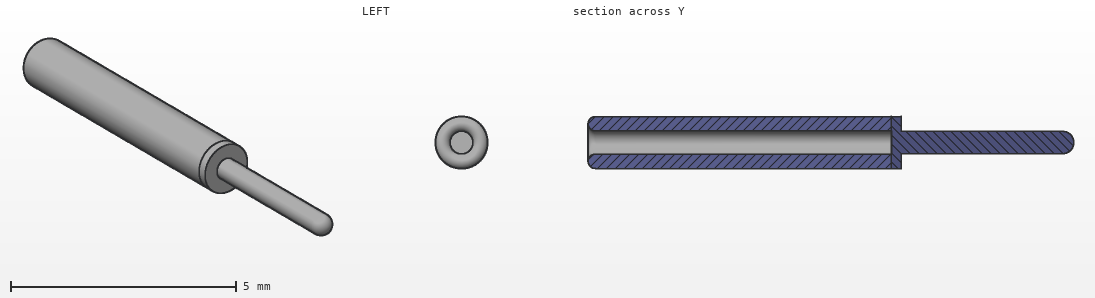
import cadquery as cq
import math

total_length = 10.79
outer_diameter = 1.17
barrel_length = 6.73
collar_end = 6.96
pin_diameter = 0.51
bore_diameter = 0.51

outer_radius = outer_diameter / 2
pin_radius = pin_diameter / 2
bore_radius = bore_diameter / 2
lip_radius = (outer_radius - bore_radius) / 2


def revolve_about_x(profile):
    """Turn a closed half-profile, drawn in XY, about the X axis."""
    return profile.close().revolve(360, (0, 0, 0), (1, 0, 0))


def make_barrel():
    """Tube with a fully rounded lip at its open end and a bore right through."""
    profile = (
        cq.Workplane("XY")
        .moveTo(barrel_length, bore_radius)
        .lineTo(lip_radius, bore_radius)
        .threePointArc((0, bore_radius + lip_radius), (lip_radius, outer_radius))
        .lineTo(barrel_length, outer_radius)
    )
    return revolve_about_x(profile)


def make_plunger():
    """Pin with a hemispherical tip and a collar that closes the barrel's end."""
    tip_center = total_length - pin_radius
    arc_offset = pin_radius * math.sqrt(0.5)
    profile = (
        cq.Workplane("XY")
        .moveTo(barrel_length, 0)
        .lineTo(barrel_length, outer_radius)
        .lineTo(collar_end, outer_radius)
        .lineTo(collar_end, pin_radius)
        .lineTo(tip_center, pin_radius)
        .threePointArc((tip_center + arc_offset, arc_offset), (total_length, 0))
    )
    return revolve_about_x(profile)


barrel = make_barrel()
plunger = make_plunger()

result = cq.Compound.makeCompound([barrel.val(), plunger.val()])